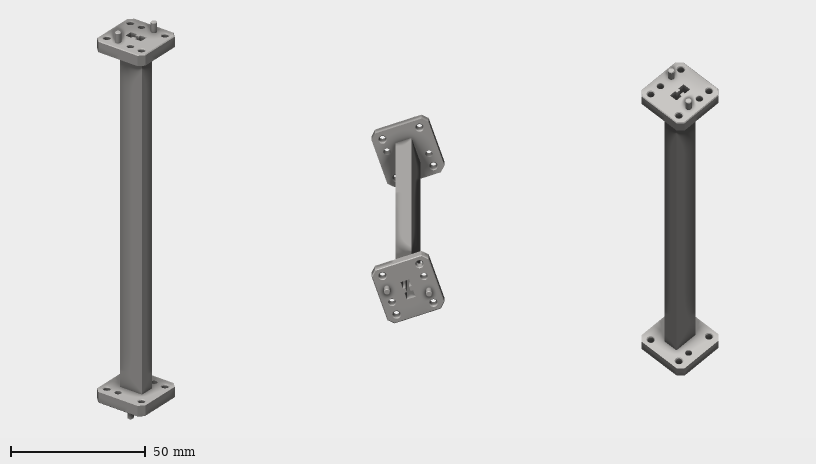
import cadquery as cq

total_length = 161.0
flange_side = 22.4
flange_thickness = 4.7
flange_corner = 2.1
flange_edge_chamfer = 0.3

tube_width = 10.3
tube_depth = 6.3

opening_width = 7.2
opening_height = 3.4
ridge_width = 1.8
ridge_gap = 1.5

pin_diameter = 2.4
pin_reach = 4.2
pin_tip_chamfer = 0.24
pin_hole_diameter = 2.5
pin_hole_chamfer = 0.2
pin_x = 2.9

screw_hole_diameter = 2.5
screw_hole_chamfer = 0.3
screw_x = 8.0

hole_row_y = 7.2

half_length = total_length / 2
flange_face_z = half_length - pin_reach
flange_back_z = flange_face_z - flange_thickness

rising_diagonal = [(pin_x, hole_row_y), (-pin_x, -hole_row_y)]
falling_diagonal = [(-pin_x, hole_row_y), (pin_x, -hole_row_y)]
screw_points = [(x, y) for x in (-screw_x, screw_x) for y in (-hole_row_y, hole_row_y)]


def rods(points, diameter, length):
    """Round rods standing on the back plane of the upper flange."""
    back_plane = cq.Workplane("XY", origin=(0, 0, flange_back_z))
    return back_plane.pushPoints(points).circle(diameter / 2).extrude(length)


def countersinks(points, mouth_z, diameter, chamfer, inward):
    """Cones that break the mouths of holes; inward is the Z direction into the plate."""
    mouth = cq.Vector(0, 0, mouth_z)
    axis = cq.Vector(0, 0, inward)
    cone = cq.Solid.makeCone(diameter / 2 + chamfer, diameter / 2, chamfer, mouth, axis)
    return cq.Workplane("XY").pushPoints(points).eachpoint(lambda place: cone.moved(place))


def make_flange(pin_points, pin_hole_points):
    """Upper flange with its dowel pins, outer face up."""
    plate = (
        cq.Workplane("XY", origin=(0, 0, flange_back_z))
        .rect(flange_side, flange_side)
        .extrude(flange_thickness)
        .edges("|Z")
        .chamfer(flange_corner)
        .faces(">Z")
        .edges()
        .chamfer(flange_edge_chamfer)
    )
    pins = rods(pin_points, pin_diameter, flange_thickness + pin_reach)
    pins = pins.faces(">Z").edges().chamfer(pin_tip_chamfer)
    return (
        plate.cut(rods(screw_points, screw_hole_diameter, flange_thickness))
        .cut(countersinks(screw_points, flange_face_z, screw_hole_diameter, screw_hole_chamfer, -1))
        .cut(countersinks(screw_points, flange_back_z, screw_hole_diameter, screw_hole_chamfer, 1))
        .cut(rods(pin_hole_points, pin_hole_diameter, flange_thickness))
        .cut(countersinks(pin_hole_points, flange_face_z, pin_hole_diameter, pin_hole_chamfer, -1))
        .union(pins)
    )


def make_opening():
    """Rectangular channel pinched by two facing ridges, running the full length."""
    channel = cq.Workplane("XY").box(opening_width, opening_height, total_length)
    ridges = cq.Workplane("XY").box(ridge_width, opening_height, total_length)
    gap = cq.Workplane("XY").box(ridge_width, ridge_gap, total_length)
    return channel.cut(ridges).union(gap)


tube = cq.Workplane("XY").box(tube_width, tube_depth, 2 * flange_back_z)
top_flange = make_flange(rising_diagonal, falling_diagonal)
bottom_flange = make_flange(falling_diagonal, rising_diagonal).mirror("XY")

result = tube.union(top_flange).union(bottom_flange).cut(make_opening())